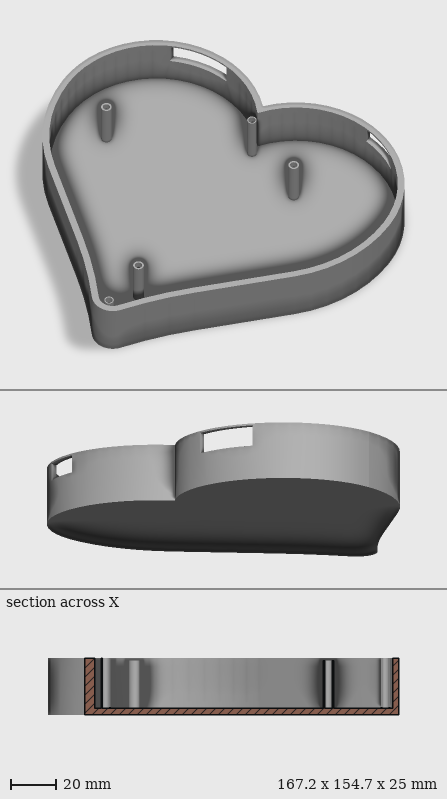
import cadquery as cq
import math

width = 167.2
length = 154.7
height = 25.0
wall = 3.0
floor = 3.0

lobe_radius = 47.8
side_radius = 64.4
flank_angle = 47.0
flank_length = 45.1
hollow_radius = 192.3

pilot_diameter = 3.2
thin_post_diameter = 4.2
thin_post_height = 25.0
thin_post_places = [(0, 129.0), (0, 6.0)]
thick_post_diameter = 4.7
thick_post_height = 23.9
thick_post_places = [(-59.5, 103.8), (28.8, 116.7), (0.2, 31.1)]

window_top = 24.2
windows = [(-53.3, -25.7, 15.0), (45.8, 63.5, 16.5)]


def point_at(center, radius, angle):
    return (
        center[0] + radius * math.cos(angle),
        center[1] + radius * math.sin(angle),
    )


def heart(inset):
    """Closed heart wire, moved inwards from the outer outline by the inset."""
    lobe_center = (width / 2 - lobe_radius, length - lobe_radius)
    side_center = (width / 2 - side_radius, lobe_center[1])
    normal = -math.radians(flank_angle)

    hollow_center = point_at(side_center, side_radius + hollow_radius, normal)
    hollow_center = point_at(hollow_center, flank_length, normal - math.pi / 2)
    hollow_x, hollow_y = hollow_center

    tip_radius = (hollow_x**2 + hollow_y**2 - hollow_radius**2) / (2 * (hollow_radius + hollow_y))
    tip_center = (0, tip_radius)
    tip_angle = math.atan2(tip_radius - hollow_y, -hollow_x)

    lobe_inner = lobe_radius - inset
    side_inner = side_radius - inset
    hollow_inner = hollow_radius + inset
    tip_inner = tip_radius - inset

    notch_angle = math.acos(-lobe_center[0] / lobe_inner)
    flank_start = point_at(side_center, side_inner, normal)
    hollow_start = point_at(flank_start, flank_length, normal - math.pi / 2)
    hollow_start_angle = normal + math.pi
    hollow_middle_angle = (hollow_start_angle + tip_angle) / 2

    bottom_angle = -math.pi / 2
    tip_middle_angle = (tip_angle - math.pi + bottom_angle) / 2

    right_half = (
        cq.Workplane("XY")
        .moveTo(*point_at(lobe_center, lobe_inner, notch_angle))
        .threePointArc(
            point_at(lobe_center, lobe_inner, notch_angle / 2),
            point_at(lobe_center, lobe_inner, 0),
        )
        .threePointArc(point_at(side_center, side_inner, normal / 2), flank_start)
        .lineTo(*hollow_start)
        .threePointArc(
            point_at(hollow_center, hollow_inner, hollow_middle_angle),
            point_at(hollow_center, hollow_inner, tip_angle),
        )
        .threePointArc(
            point_at(tip_center, tip_inner, tip_middle_angle),
            point_at(tip_center, tip_inner, bottom_angle),
        )
    )
    return right_half.mirrorY()


def tray():
    outside = heart(0).extrude(height)
    cavity = heart(wall).extrude(height - floor).translate((0, 0, floor))
    return outside.cut(cavity)


def posts(places, diameter, top):
    """Solid posts standing on the tray bottom."""
    return cq.Workplane("XY").pushPoints(places).circle(diameter / 2).extrude(top)


def pilot_holes(places):
    """Blind holes from the post tops down to the floor."""
    return (
        cq.Workplane("XY", origin=(0, 0, floor))
        .pushPoints(places)
        .circle(pilot_diameter / 2)
        .extrude(height - floor)
    )


def window(left, right, bottom):
    """Block that cuts straight through the rear wall along Y."""
    lobe_middle_y = length - lobe_radius
    return (
        cq.Workplane("XY")
        .box(right - left, lobe_radius, window_top - bottom, centered=False)
        .translate((left, lobe_middle_y, bottom))
    )


result = tray()
for left, right, bottom in windows:
    result = result.cut(window(left, right, bottom))
result = result.union(posts(thin_post_places, thin_post_diameter, thin_post_height))
result = result.union(posts(thick_post_places, thick_post_diameter, thick_post_height))
result = result.cut(pilot_holes(thin_post_places + thick_post_places))